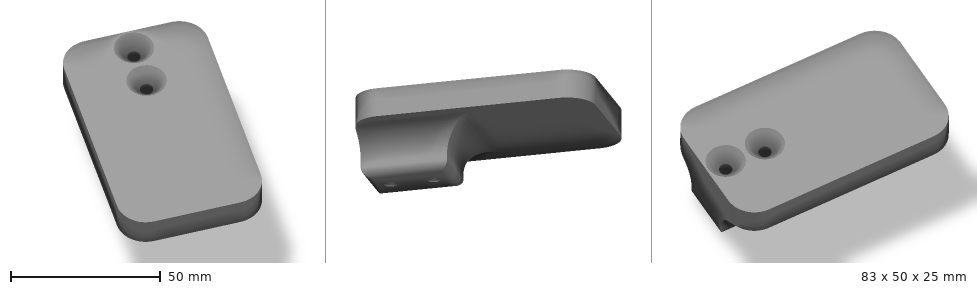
import cadquery as cq

plate_length = 83.0
plate_width = 50.0
plate_thickness = 10.0
corner_radius = 10.0

total_height = 25.0
foot_length = 30.0
foot_width = 20.0
foot_depth = total_height - plate_thickness
flare_radius = 10.0
bottom_round = 3.0

hole_diameter = 4.5
countersink_diameter = 13.45
countersink_angle = 90
first_hole_x = 7.5
hole_spacing = 15.0
hole_positions = [(first_hole_x, 0), (first_hole_x + hole_spacing, 0)]


def rounded_slab(height):
    """Plate outline with rounded vertical corners, extruded up from Z = 0."""
    slab = cq.Workplane("XY").box(plate_length, plate_width, height, centered=(False, True, False))
    return slab.edges("|Z").fillet(corner_radius)


def foot_along_x():
    """Cross-section of the foot, flared on both sides and swept along its length."""
    half_width = foot_width / 2
    flare_end = half_width + flare_radius
    return (
        cq.Workplane("YZ")
        .moveTo(-flare_end, 0)
        .radiusArc((-half_width, -flare_radius), flare_radius)
        .lineTo(-half_width, bottom_round - foot_depth)
        .radiusArc((bottom_round - half_width, -foot_depth), -bottom_round)
        .lineTo(half_width - bottom_round, -foot_depth)
        .radiusArc((half_width, bottom_round - foot_depth), -bottom_round)
        .lineTo(half_width, -flare_radius)
        .radiusArc((flare_end, 0), flare_radius)
        .close()
        .extrude(foot_length + flare_radius)
    )


def foot_along_y():
    """Side outline of the foot, flared at its inner end and swept across the plate width."""
    return (
        cq.Workplane("XZ")
        .moveTo(0, 0)
        .lineTo(0, bottom_round - foot_depth)
        .radiusArc((bottom_round, -foot_depth), -bottom_round)
        .lineTo(foot_length - bottom_round, -foot_depth)
        .radiusArc((foot_length, bottom_round - foot_depth), -bottom_round)
        .lineTo(foot_length, -flare_radius)
        .radiusArc((foot_length + flare_radius, 0), flare_radius)
        .close()
        .extrude(plate_width / 2, both=True)
    )


plate = rounded_slab(plate_thickness)
foot_envelope = rounded_slab(foot_depth).translate((0, 0, -foot_depth))
foot = foot_along_x().intersect(foot_along_y()).intersect(foot_envelope)

result = (
    plate.union(foot)
    .faces(">Z")
    .workplane(origin=(0, 0, plate_thickness))
    .pushPoints(hole_positions)
    .cskHole(hole_diameter, countersink_diameter, countersink_angle)
)